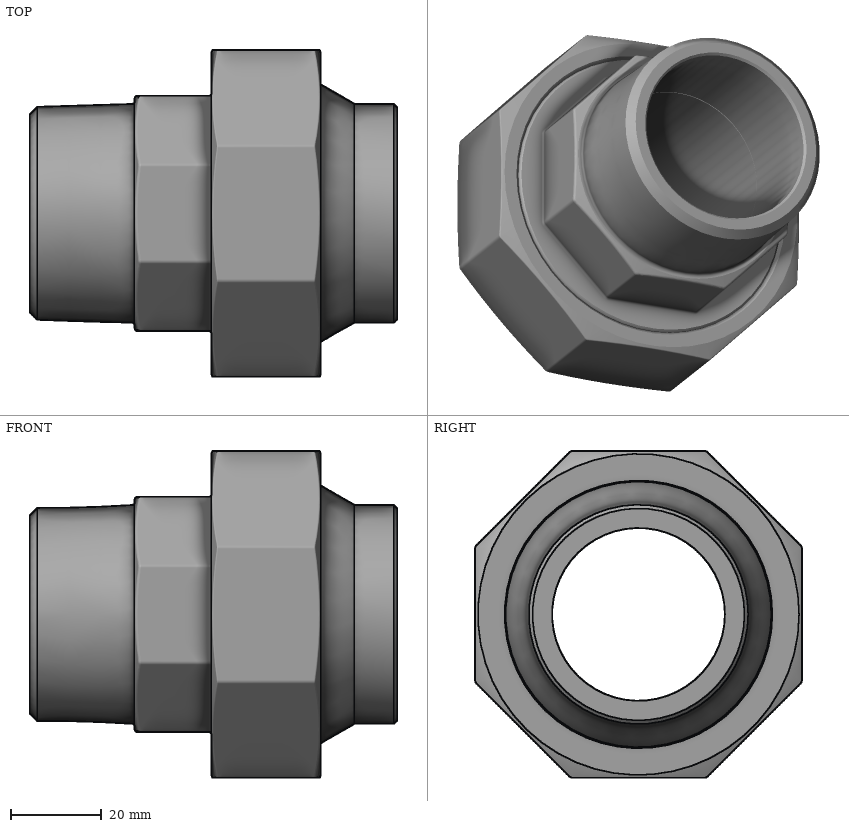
import cadquery as cq
import math


OCTAGON_START = 23.1
NUT_START = 40.0
NUT_END = 64.15
CONE_END = 71.5
PIPE_END = 81.0

BORE_DIAMETER = 38.0
BORE_CHAMFER = 0.5

OCTAGON_SIDES = 8
INSERT_ACROSS_FLATS = 51.8
NUT_ACROSS_FLATS = 72.0
END_FACE_INSET = 0.65
END_CHAMFER_ANGLE = 20.0
CORNER_FILLET = 1.05
INSERT_EDGE_FILLET = 0.65
NUT_EDGE_FILLET = 0.3

ROOT_FILLET = 0.5
SELECTION_MARGIN = 0.1

SPIGOT_TIP_DIAMETER = 47.0
SPIGOT_BASE_DIAMETER = 48.3
SPIGOT_CHAMFER = 1.7

NUT_MOUTH_DIAMETER = 65.0
SHOULDER_DIAMETER = 63.5
SHOULDER_FACE_DIAMETER = 62.5
SHOULDER_END = 48.6

NOSE_DIAMETER = 42.0
RECESS_START = 25.1
NOSE_GAP = 0.25

LEDGE = 59.9
NUT_REAR_HOLE_DIAMETER = 59.0
COLLAR_DIAMETER = 58.5
PIPE_DIAMETER = 48.3
PIPE_CHAMFER = 0.8
CONE_ANGLE = 30.0

bore_radius = BORE_DIAMETER / 2
nose_radius = NOSE_DIAMETER / 2
shoulder_radius = SHOULDER_DIAMETER / 2
shoulder_face_radius = SHOULDER_FACE_DIAMETER / 2


def revolve_about_x(outline):
    """Solid of revolution about the X axis from (x, radius) points."""
    return cq.Workplane("XY").polyline(outline).close().revolve(360, (0, 0, 0), (1, 0, 0))


def octagon_prism(across_flats, start, end):
    """Octagonal prism along X with flats on +-Y and +-Z and rounded long edges."""
    across_corners = across_flats / math.cos(math.pi / OCTAGON_SIDES)
    prism = (
        cq.Workplane("YZ")
        .polygon(OCTAGON_SIDES, across_corners)
        .extrude(end - start)
        .rotate((0, 0, 0), (1, 0, 0), 180 / OCTAGON_SIDES)
        .translate((start, 0, 0))
    )
    return prism.edges("|X").fillet(CORNER_FILLET)


def chamfer_cone(across_flats, face_x, direction):
    """Round envelope that widens as a cone from an end face along +X or -X, then runs straight."""
    face_radius = across_flats / 2 - END_FACE_INSET
    wide_radius = across_flats
    length = (wide_radius - face_radius) * math.tan(math.radians(END_CHAMFER_ANGLE))
    wide_x = face_x + direction * length
    far_x = face_x + direction * across_flats
    return revolve_about_x([
        (face_x, 0),
        (face_x, face_radius),
        (wide_x, wide_radius),
        (far_x, wide_radius),
        (far_x, 0),
    ])


def round_chamfer_edges(octagon, radius):
    """Round the curved edges where the end chamfers meet the flats and the rounded corners."""
    return octagon.edges("%HYPERBOLA or %BSPLINE").fillet(radius)


def round_root(body, x, reach):
    """Fillet the root edges in the plane at x that lie no farther than reach from the axis in Y and Z."""
    root_edges = cq.selectors.BoxSelector(
        (x - SELECTION_MARGIN, -reach, -reach),
        (x + SELECTION_MARGIN, reach, reach),
        boundingbox=True,
    )
    return body.edges(root_edges).fillet(ROOT_FILLET)


def make_insert():
    """Spigot end: tapered spigot, octagon and shoulder, bored and recessed for the tailpiece nose."""
    octagon = octagon_prism(INSERT_ACROSS_FLATS, OCTAGON_START, NUT_START)
    octagon = octagon.intersect(chamfer_cone(INSERT_ACROSS_FLATS, OCTAGON_START, 1))
    octagon = round_chamfer_edges(octagon, INSERT_EDGE_FILLET)

    shoulder_chamfer = shoulder_radius - shoulder_face_radius
    shoulder = revolve_about_x([
        (NUT_START, 0),
        (NUT_START, shoulder_face_radius),
        (NUT_START + shoulder_chamfer, shoulder_radius),
        (SHOULDER_END, shoulder_radius),
        (SHOULDER_END, 0),
    ])
    body = octagon.union(shoulder)
    body = round_root(body, NUT_START, INSERT_ACROSS_FLATS / 2 + SELECTION_MARGIN)

    tip_radius = SPIGOT_TIP_DIAMETER / 2
    base_radius = SPIGOT_BASE_DIAMETER / 2
    spigot = revolve_about_x([
        (0, 0),
        (0, tip_radius - SPIGOT_CHAMFER),
        (SPIGOT_CHAMFER, tip_radius),
        (OCTAGON_START, base_radius),
        (OCTAGON_START, 0),
    ])
    body = body.union(spigot)
    body = round_root(body, OCTAGON_START, base_radius + SELECTION_MARGIN)

    bore_and_recess = revolve_about_x([
        (0, 0),
        (0, bore_radius + BORE_CHAMFER),
        (BORE_CHAMFER, bore_radius),
        (RECESS_START, bore_radius),
        (RECESS_START, nose_radius),
        (SHOULDER_END, nose_radius),
        (SHOULDER_END, 0),
    ])
    return body.cut(bore_and_recess)


def make_nut():
    """Octagonal nut chamfered at both ends, with a cavity and a smaller rear hole."""
    nut = octagon_prism(NUT_ACROSS_FLATS, NUT_START, NUT_END)
    nut = nut.intersect(chamfer_cone(NUT_ACROSS_FLATS, NUT_START, 1))
    nut = nut.intersect(chamfer_cone(NUT_ACROSS_FLATS, NUT_END, -1))
    nut = round_chamfer_edges(nut, NUT_EDGE_FILLET)

    mouth_radius = NUT_MOUTH_DIAMETER / 2
    rear_hole_radius = NUT_REAR_HOLE_DIAMETER / 2
    cavity = revolve_about_x([
        (NUT_START, 0),
        (NUT_START, mouth_radius),
        (NUT_START + mouth_radius - shoulder_radius, shoulder_radius),
        (LEDGE, shoulder_radius),
        (LEDGE, rear_hole_radius),
        (NUT_END, rear_hole_radius),
        (NUT_END, 0),
    ])
    return nut.cut(cavity)


def make_tailpiece():
    """Bored tailpiece: nose, flange behind the nut ledge, collar, cone and plain pipe."""
    collar_radius = COLLAR_DIAMETER / 2
    pipe_radius = PIPE_DIAMETER / 2
    cone_start = CONE_END - (collar_radius - pipe_radius) / math.tan(math.radians(CONE_ANGLE))
    nose_start = RECESS_START + NOSE_GAP
    return revolve_about_x([
        (nose_start, bore_radius),
        (nose_start, nose_radius),
        (SHOULDER_END, nose_radius),
        (SHOULDER_END, shoulder_radius),
        (LEDGE, shoulder_radius),
        (LEDGE, collar_radius),
        (cone_start, collar_radius),
        (CONE_END, pipe_radius),
        (PIPE_END - PIPE_CHAMFER, pipe_radius),
        (PIPE_END, pipe_radius - PIPE_CHAMFER),
        (PIPE_END, bore_radius),
    ])


insert = make_insert()
nut = make_nut()
tailpiece = make_tailpiece()

result = cq.Compound.makeCompound([insert.val(), nut.val(), tailpiece.val()])